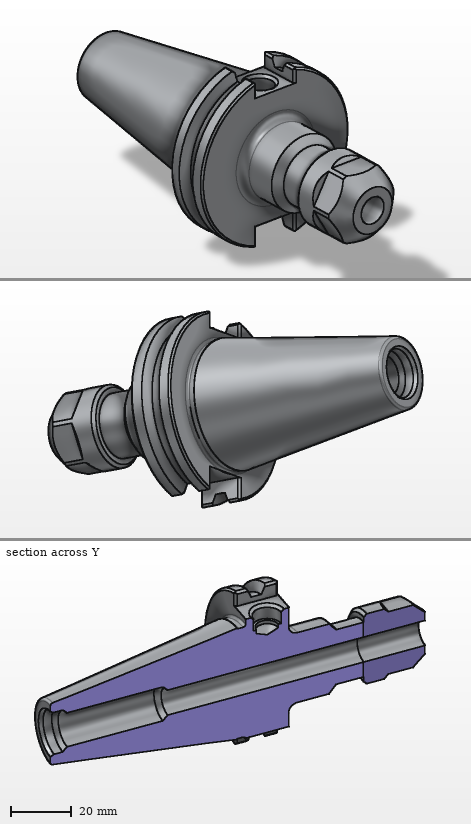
import cadquery as cq
import math

OVERALL_LENGTH = 137.4
CUT_MARGIN = 1.4

TAPER_LENGTH = 68.4
GAUGE_RADIUS = 44.5 / 2
TAPER_SLOPE = 7 / 48
TAPER_END_RADIUS = GAUGE_RADIUS - TAPER_LENGTH * TAPER_SLOPE
TAPER_END_FILLET = 1.0
RELIEF_RADIUS = 44.0 / 2
RELIEF_CHAMFER = GAUGE_RADIUS - RELIEF_RADIUS
RELIEF_FILLET = 1.0

FLANGE_START = 71.5
FLANGE_END = 87.5
FLANGE_RADIUS = 63.5 / 2
FLANGE_CHAMFER = 0.7
GROOVE_CENTER = 79.4
GROOVE_FLOOR_RADIUS = 56.3 / 2
GROOVE_FLOOR_WIDTH = 3.7
GROOVE_MOUTH_WIDTH = 7.0
SLOT_WIDTH = 16.1
SLOT_CHAMFER = 0.8
UPPER_SLOT_FLOOR = 24.9
LOWER_SLOT_FLOOR = 22.7

DRIVE_HOLE_X = (FLANGE_START + FLANGE_END) / 2
DRIVE_HOLE_MOUTH_RADIUS = 12.1 / 2
DRIVE_HOLE_RADIUS = 10.0 / 2
DRIVE_HOLE_DEPTH = 5.5
PILOT_RADIUS = 8.0 / 2
PILOT_DEPTH = 6.9
DRILL_HALF_ANGLE = math.radians(68)

SHOULDER_RADIUS = 28.0 / 2
SHOULDER_FILLET = 3.0
SHOULDER_END = 102.2
NECK_START = 104.8
NECK_RADIUS = 22.0 / 2

BORE_MOUTH_RADIUS = 17.9 / 2
BORE_MOUTH_DEPTH = 1.4
ENTRY_BORE_RADIUS = 16.5 / 2
ENTRY_BORE_DEPTH = 4.5
MIDDLE_BORE_RADIUS = 13.3 / 2
MIDDLE_BORE_DEPTH = 41.2
THROUGH_RADIUS = 9.8 / 2

NUT_START = 114.8
NUT_RADIUS = 28.0 / 2
NUT_BACK_CHAMFER = 1.1
NUT_FRONT_RADIUS = 16.8 / 2
NUT_FRONT_CONE_LENGTH = 5.9
NUT_ACROSS_FLATS = 25.0
FLATS_START = 123.9
FLAT_COUNT = 6


def revolve_about_axis(profile):
    """Turn a closed profile, drawn as (x, radius), about the X axis."""
    return profile.close().revolve(360, (0, 0, 0), (1, 0, 0))


def make_flange():
    """Flange disc with drive slots, their chamfers and the V groove."""
    flange = (
        cq.Workplane("YZ", origin=(FLANGE_START, 0, 0))
        .circle(FLANGE_RADIUS)
        .extrude(FLANGE_END - FLANGE_START)
        .edges()
        .chamfer(FLANGE_CHAMFER)
    )
    for side, floor in ((1, UPPER_SLOT_FLOOR), (-1, LOWER_SLOT_FLOOR)):
        flange = flange.cut(slot_cutter(floor, side))
    return flange.cut(groove_cutter())


def slot_cutter(floor, side):
    """Drive slot open at the rim, widened by a chamfer at both faces and along the rim."""
    height = FLANGE_RADIUS + CUT_MARGIN - floor
    bottom_z = min(side * floor, side * (floor + height))
    start = FLANGE_START
    end = FLANGE_END
    half = SLOT_WIDTH / 2
    wide = half + SLOT_CHAMFER
    outline = [
        (start, wide),
        (start + SLOT_CHAMFER, half),
        (end - SLOT_CHAMFER, half),
        (end, wide),
        (end, -wide),
        (end - SLOT_CHAMFER, -half),
        (start + SLOT_CHAMFER, -half),
        (start, -wide),
    ]
    slot = (
        cq.Workplane("XY", origin=(0, 0, bottom_z))
        .polyline(outline)
        .close()
        .extrude(height)
    )
    rim_z = math.sqrt(FLANGE_RADIUS**2 - wide**2)
    rim_outline = [
        (-half, side * (rim_z - SLOT_CHAMFER)),
        (half, side * (rim_z - SLOT_CHAMFER)),
        (wide + CUT_MARGIN, side * (rim_z + CUT_MARGIN)),
        (-wide - CUT_MARGIN, side * (rim_z + CUT_MARGIN)),
    ]
    rim = (
        cq.Workplane("YZ", origin=(start, 0, 0))
        .polyline(rim_outline)
        .close()
        .extrude(end - start)
    )
    return slot.union(rim)


def groove_cutter():
    """Ring that cuts the V groove around the flange rim."""
    flank_slope = (GROOVE_MOUTH_WIDTH - GROOVE_FLOOR_WIDTH) / 2 / (FLANGE_RADIUS - GROOVE_FLOOR_RADIUS)
    outer_radius = FLANGE_RADIUS + CUT_MARGIN
    half_floor = GROOVE_FLOOR_WIDTH / 2
    half_outer = GROOVE_MOUTH_WIDTH / 2 + CUT_MARGIN * flank_slope
    return revolve_about_axis(
        cq.Workplane("XY")
        .moveTo(GROOVE_CENTER - half_floor, GROOVE_FLOOR_RADIUS)
        .lineTo(GROOVE_CENTER + half_floor, GROOVE_FLOOR_RADIUS)
        .lineTo(GROOVE_CENTER + half_outer, outer_radius)
        .lineTo(GROOVE_CENTER - half_outer, outer_radius)
    )


def make_shank():
    """Taper with a rounded small end, and the relief neck that fillets into the flange."""
    taper = revolve_about_axis(
        cq.Workplane("XY")
        .lineTo(0, TAPER_END_RADIUS)
        .lineTo(TAPER_LENGTH, GAUGE_RADIUS)
        .lineTo(TAPER_LENGTH + RELIEF_CHAMFER, RELIEF_RADIUS)
        .lineTo(TAPER_LENGTH + RELIEF_CHAMFER, 0)
    )
    taper = taper.faces("<X").edges().fillet(TAPER_END_FILLET)
    neck = revolve_about_axis(
        cq.Workplane("XY")
        .moveTo(TAPER_LENGTH, 0)
        .lineTo(TAPER_LENGTH, RELIEF_RADIUS)
        .lineTo(FLANGE_START - RELIEF_FILLET, RELIEF_RADIUS)
        .radiusArc((FLANGE_START, RELIEF_RADIUS + RELIEF_FILLET), -RELIEF_FILLET)
        .lineTo(FLANGE_START, 0)
    )
    return taper.union(neck)


def make_nose():
    """Shoulder, sloping step and neck, ending flat against the nut."""
    return revolve_about_axis(
        cq.Workplane("XY")
        .moveTo(FLANGE_END, 0)
        .lineTo(FLANGE_END, SHOULDER_RADIUS + SHOULDER_FILLET)
        .radiusArc((FLANGE_END + SHOULDER_FILLET, SHOULDER_RADIUS), -SHOULDER_FILLET)
        .lineTo(SHOULDER_END, SHOULDER_RADIUS)
        .lineTo(NECK_START, NECK_RADIUS)
        .lineTo(NUT_START, NECK_RADIUS)
        .lineTo(NUT_START, 0)
    )


def bore_cutter():
    """Countersunk stepped bore, with a sloping transition at every step."""
    return revolve_about_axis(
        cq.Workplane("XY")
        .lineTo(0, BORE_MOUTH_RADIUS)
        .lineTo(BORE_MOUTH_DEPTH, ENTRY_BORE_RADIUS)
        .lineTo(ENTRY_BORE_DEPTH, ENTRY_BORE_RADIUS)
        .lineTo(ENTRY_BORE_DEPTH + ENTRY_BORE_RADIUS - MIDDLE_BORE_RADIUS, MIDDLE_BORE_RADIUS)
        .lineTo(MIDDLE_BORE_DEPTH, MIDDLE_BORE_RADIUS)
        .lineTo(MIDDLE_BORE_DEPTH + MIDDLE_BORE_RADIUS - THROUGH_RADIUS, THROUGH_RADIUS)
        .lineTo(OVERALL_LENGTH, THROUGH_RADIUS)
        .lineTo(OVERALL_LENGTH, 0)
    )


def drive_hole_cutter():
    """Countersunk blind hole with a narrower pilot and a drill-point bottom."""
    countersink = DRIVE_HOLE_MOUTH_RADIUS - DRIVE_HOLE_RADIUS
    tip_depth = PILOT_DEPTH + PILOT_RADIUS / math.tan(DRILL_HALF_ANGLE)
    profile = [
        (0, 0),
        (DRIVE_HOLE_MOUTH_RADIUS, 0),
        (DRIVE_HOLE_RADIUS, -countersink),
        (DRIVE_HOLE_RADIUS, -DRIVE_HOLE_DEPTH),
        (PILOT_RADIUS, -DRIVE_HOLE_DEPTH),
        (PILOT_RADIUS, -PILOT_DEPTH),
        (0, -tip_depth),
    ]
    return (
        cq.Workplane("XZ", origin=(DRIVE_HOLE_X, 0, UPPER_SLOT_FLOOR))
        .polyline(profile)
        .close()
        .revolve(360, (0, 0, 0), (0, 1, 0))
    )


def make_holder():
    """Taper shank, flange and nose as one bored body."""
    holder = make_shank().union(make_flange()).union(make_nose())
    return holder.cut(bore_cutter()).cut(drive_hole_cutter())


def flat_cutter():
    """Block that mills the flat on the +Z side of the nut, with a 45 degree run-out."""
    flat_z = NUT_ACROSS_FLATS / 2
    rise = NUT_RADIUS + CUT_MARGIN - flat_z
    return (
        cq.Workplane("XZ", origin=(0, NUT_RADIUS, 0))
        .moveTo(FLATS_START, flat_z)
        .lineTo(OVERALL_LENGTH, flat_z)
        .lineTo(OVERALL_LENGTH, flat_z + rise)
        .lineTo(FLATS_START - rise, flat_z + rise)
        .close()
        .extrude(2 * NUT_RADIUS)
    )


def make_nut():
    """Round nut with a coned front, six flats and the through bore."""
    nut = revolve_about_axis(
        cq.Workplane("XY")
        .moveTo(NUT_START, 0)
        .lineTo(NUT_START, NUT_RADIUS - NUT_BACK_CHAMFER)
        .lineTo(NUT_START + NUT_BACK_CHAMFER, NUT_RADIUS)
        .lineTo(OVERALL_LENGTH - NUT_FRONT_CONE_LENGTH, NUT_RADIUS)
        .lineTo(OVERALL_LENGTH, NUT_FRONT_RADIUS)
        .lineTo(OVERALL_LENGTH, 0)
    )
    for index in range(FLAT_COUNT):
        angle = index * 360 / FLAT_COUNT
        nut = nut.cut(flat_cutter().rotate((0, 0, 0), (1, 0, 0), angle))
    return nut.cut(bore_cutter())


holder = make_holder()
nut = make_nut()

result = cq.Compound.makeCompound([holder.val(), nut.val()])